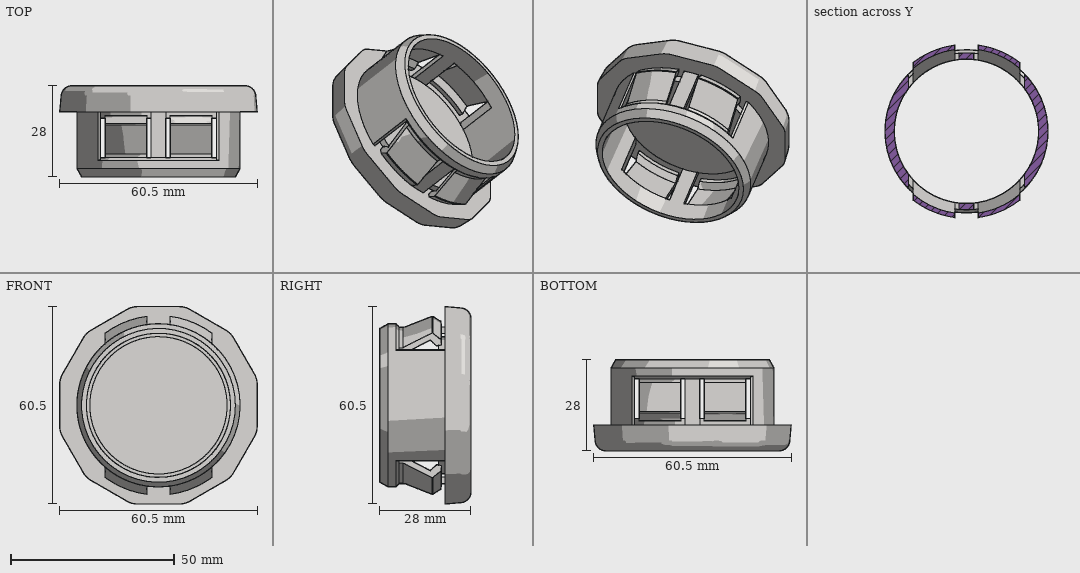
import cadquery as cq
import math


cap_across_flats = 60.5
cap_sides = 12
cap_thickness = 8.05
cap_draft = 5.0
cap_corner_radius = 6.65
cap_top_radius = 3.45

barrel_length = 19.95
barrel_radius = 50.0 / 2
bore_radius = 44.1 / 2
mouth_chamfer_length = 2.6
mouth_chamfer_depth = 1.45

disc_radius = 42.05 / 2
disc_height = 2.0

window_half_width = 17.7
window_length = 14.05
window_end_bevel = 0.9
window_side_bevel = 0.7
window_side_inner_z = 17.05
post_radius = 24.0
post_half_width = 2.3

finger_inner_x = 3.6
finger_outer_x = 16.35
finger_root_y = -12.9
finger_peak_radius = 27.5
finger_peak_y = -4.0
finger_crest_y = -3.65
finger_ramp = [(27.05, -3.1), (26.6, -2.35), (26.25, -1.8), (26.0, -1.3)]
finger_toe_outer_radius = 24.85
finger_toe_inner_radius = 24.7
finger_toe_y = -1.1
finger_heel_radius = 24.4
finger_heel_y = -2.55
finger_crook_radius = 25.8
finger_crook_y = -4.5


def revolve_profile(points):
    """Full turn about the Y axis of a closed (radius, y) outline."""
    return cq.Workplane("XY").polyline(points).close().revolve(360, (0, 0, 0), (0, 1, 0))


def slab(x_min, x_max, y_min, y_max, height):
    """Block between the given X and Y limits, from z = 0 up to the height."""
    return cq.Workplane("XY").box(
        x_max - x_min, y_max - y_min, height, centered=False
    ).translate((x_min, y_min, 0))


def make_cap():
    corner_diameter = cap_across_flats / math.cos(math.pi / cap_sides)
    half_step = 180.0 / cap_sides
    cap = (
        cq.Workplane("XZ")
        .transformed(rotate=(0, 0, half_step))
        .polygon(cap_sides, corner_diameter)
        .extrude(-cap_thickness, taper=cap_draft)
    )
    cap = cap.edges("not(#Y)").fillet(cap_corner_radius)
    return cap.faces(">Y").edges().fillet(cap_top_radius)


def make_barrel():
    return revolve_profile([
        (bore_radius, 0),
        (barrel_radius, 0),
        (barrel_radius, mouth_chamfer_length - barrel_length),
        (barrel_radius - mouth_chamfer_depth, -barrel_length),
        (bore_radius, -barrel_length),
    ])


def make_window_recess():
    """Shallow recess down to the post radius, with its edges bevelled outward."""
    ring = revolve_profile([
        (post_radius, 0),
        (post_radius, -window_length),
        (barrel_radius, -window_length - window_end_bevel),
        (cap_across_flats / 2, -window_length - window_end_bevel),
        (cap_across_flats / 2, 0),
    ])
    outer_half_width = window_half_width + window_side_bevel
    outer_z = math.sqrt(barrel_radius**2 - outer_half_width**2)
    outline = [
        (-window_half_width, 0),
        (window_half_width, 0),
        (window_half_width, window_side_inner_z),
        (outer_half_width, outer_z),
        (outer_half_width, cap_across_flats),
        (-outer_half_width, cap_across_flats),
        (-outer_half_width, outer_z),
        (-window_half_width, window_side_inner_z),
    ]
    sector = cq.Workplane("XZ").polyline(outline).close().extrude(barrel_length)
    return ring.intersect(sector)


def make_finger_ring():
    return revolve_profile([
        (bore_radius, -window_length),
        (post_radius, -window_length),
        (post_radius, finger_root_y),
        (finger_peak_radius, finger_peak_y),
        (finger_peak_radius, finger_crest_y),
        *finger_ramp,
        (finger_toe_outer_radius, finger_toe_y),
        (finger_toe_inner_radius, finger_toe_y),
        (finger_heel_radius, finger_heel_y),
        (finger_crook_radius, finger_crook_y),
    ])


def mirrored_pair(body, plane):
    """The body together with its mirror image."""
    return body.union(body.mirror(plane))


def make_window():
    """Cutter for one window: the bevelled recess and the openings beside the central post."""
    opening = slab(post_half_width, window_half_width, -window_length, 0, barrel_radius)
    return make_window_recess().union(mirrored_pair(opening, "YZ"))


def make_finger_pair():
    finger = make_finger_ring().intersect(
        slab(finger_inner_x, finger_outer_x, -barrel_length, 0, cap_across_flats)
    )
    return mirrored_pair(finger, "YZ")


windows = mirrored_pair(make_window(), "XY")
fingers = mirrored_pair(make_finger_pair(), "XY")
disc = cq.Workplane("XZ").circle(disc_radius).extrude(disc_height)

result = make_cap().union(make_barrel().cut(windows)).union(disc).union(fingers)